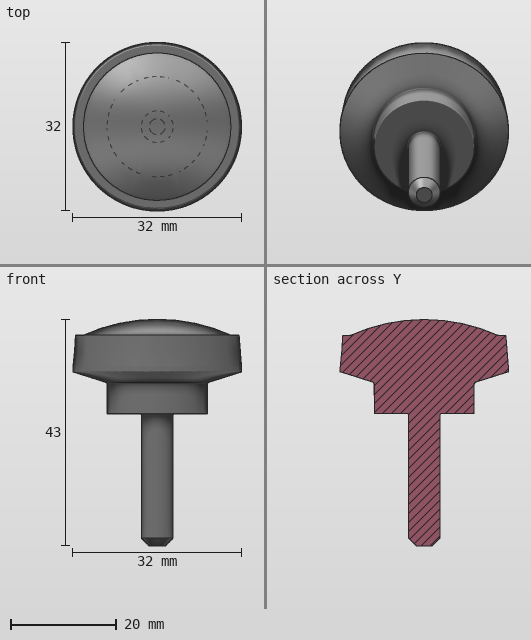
import cadquery as cq

TOTAL_HEIGHT = 43.0

SHANK_RADIUS = 3.0
POINT_CHAMFER = 1.5
SHANK_FILLET = 0.25

HUB_RADIUS = 9.5
HUB_BOTTOM = 25.05
HUB_TOP = 30.95
HUB_BOTTOM_FILLET = 0.15
HUB_TOP_FILLET = 0.35

HEAD_RADIUS = 16.0
BAND_BOTTOM = 33.02
BAND_TOP = 34.0
BAND_FILLET = 0.15
SHOULDER_RADIUS = 15.52
SHOULDER_HEIGHT = 40.0
SHOULDER_FILLET = 0.17
DOME_RADIUS = 13.98

TOLERANCE = 0.005

dome_height = TOTAL_HEIGHT - SHOULDER_HEIGHT
dome_sphere_radius = (DOME_RADIUS**2 + dome_height**2) / (2 * dome_height)


def round_edge(body, radius, height, fillet_radius):
    """Fillet the circular edge of a given radius at a given height."""

    def is_wanted(edge):
        radius_matches = abs(edge.radius() - radius) < TOLERANCE
        height_matches = abs(edge.Center().z - height) < TOLERANCE
        return radius_matches and height_matches

    return body.edges("%CIRCLE").filter(is_wanted).fillet(fillet_radius)


def knob_body():
    """Revolve the half profile of the knob around the vertical axis."""
    profile = (
        cq.Workplane("XZ")
        .moveTo(0, 0)
        .lineTo(SHANK_RADIUS - POINT_CHAMFER, 0)
        .lineTo(SHANK_RADIUS, POINT_CHAMFER)
        .lineTo(SHANK_RADIUS, HUB_BOTTOM)
        .lineTo(HUB_RADIUS, HUB_BOTTOM)
        .lineTo(HUB_RADIUS, HUB_TOP)
        .lineTo(HEAD_RADIUS, BAND_BOTTOM)
        .lineTo(HEAD_RADIUS, BAND_TOP)
        .lineTo(SHOULDER_RADIUS, SHOULDER_HEIGHT)
        .lineTo(DOME_RADIUS, SHOULDER_HEIGHT)
        .radiusArc((0, TOTAL_HEIGHT), -dome_sphere_radius)
        .close()
    )
    return profile.revolve(360, (0, 0, 0), (0, 1, 0))


rounded_edges = [
    (SHANK_RADIUS, HUB_BOTTOM, SHANK_FILLET),
    (HUB_RADIUS, HUB_BOTTOM, HUB_BOTTOM_FILLET),
    (HUB_RADIUS, HUB_TOP, HUB_TOP_FILLET),
    (HEAD_RADIUS, BAND_BOTTOM, BAND_FILLET),
    (SHOULDER_RADIUS, SHOULDER_HEIGHT, SHOULDER_FILLET),
]

result = knob_body()
for edge_radius, edge_height, fillet_radius in rounded_edges:
    result = round_edge(result, edge_radius, edge_height, fillet_radius)